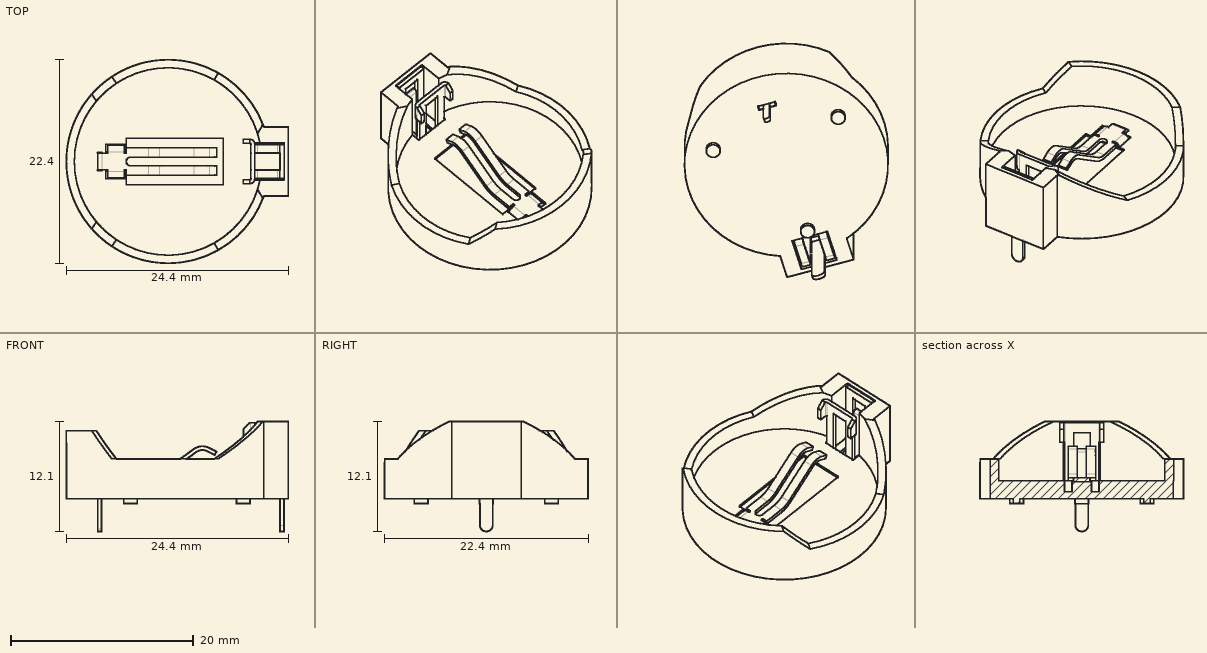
import cadquery as cq
import math


cup_radius = 11.175
wall = 0.89
cavity_radius = cup_radius - wall
floor_top = 2.0
low_wall_top = 4.4
entry_wall_top = 7.49
block_top = 8.51
overall_height = 12.09
block_width = 7.62
block_end = 13.205

block_slope_heading = 60.5
block_slope_run = 7.05
entry_slope_heading = 123.5
entry_slope_run = 2.9

peg_diameter = 1.52
peg_circle_radius = 8.255
peg_length = 0.51
peg_count = 3

sheet = 0.44
pin_bottom = block_top - overall_height

slot_start = 9.09
slot_end = 12.72
slot_width = 4.06
clip_width = 3.76
clip_top = 8.37
clip_bend = 0.28
clip_window_width = 1.82
clip_window_top = 7.24
crossbar_bottom = 2.1
crossbar_top = 2.8
clip_pin_width = 1.44
clip_pin_top = 5.5
clip_pin_round = 0.3
arm_bend = 0.1
arm_end = 8.26
arm_bottom = 6.2
arm_chamfer = 0.7

recess_depth = 0.25
seat_depth = 0.1
recess_start = -4.58
recess_end = 6.08
recess_width = 5.1
spring_width = 3.02
spring_gap = 0.95
neck_width = 1.83
spring_pin_face = -7.74
spring_pin_width = 0.66
pin_hole_width = 2.0
tab_bend = 0.05

tine_bend_start = -2.2
tine_bend_radius = 2.13
tine_rise_angle = math.radians(36)
tine_rise_length = 4.66
tine_crest_radius = 1.62
tine_tip_angle = math.radians(27)
tine_tip_length = 0.91

wing_start = -6.62
wing_end = -4.79
wing_bend_start = 1.08
wing_outer = 1.78
wing_bottom = 0.8
pocket_start = -6.85
pocket_end = -4.70
pocket_outer = 1.88

recess_floor = floor_top - recess_depth
spring_bottom = floor_top - seat_depth
spring_top = spring_bottom + sheet


def box(x0, x1, y0, y1, z0, z1):
    """Box between two opposite corners."""
    return cq.Workplane("XY").box(x1 - x0, y1 - y0, z1 - z0, centered=False).translate((x0, y0, z0))


def centred_box(x0, x1, width, z0, z1):
    """Box that is symmetric about the XZ plane."""
    return box(x0, x1, -width / 2, width / 2, z0, z1)


def both_sides(shape):
    """The shape together with its mirror image in the XZ plane."""
    return shape.union(shape.mirror("XZ"))


def slope_cutter(heading, run, rise):
    """Prism above a slope whose level lines run along the heading; it climbs toward +X."""
    reach = 4 * cup_radius
    profile = [(0, 0), (run, rise), (reach * run / rise, reach), (-reach, reach), (-reach, 0)]
    prism = cq.Workplane("XZ").polyline(profile).close().extrude(reach, both=True)
    return prism.rotate((0, 0, 0), (0, 0, 1), heading - 90).translate((0, 0, low_wall_top))


def side_notch():
    """Space above the low wall on the +Y side, between the two slopes."""
    block_side = slope_cutter(block_slope_heading, block_slope_run, block_top - low_wall_top)
    entry_side = slope_cutter(
        180 - entry_slope_heading, entry_slope_run, entry_wall_top - low_wall_top
    ).mirror("YZ")
    half = box(-cup_radius, cup_radius, 0, cup_radius, low_wall_top, block_top)
    return half.intersect(block_side).intersect(entry_side)


def make_cup():
    cup = cq.Workplane("XY").circle(cup_radius).extrude(block_top)
    block = centred_box(0, block_end, block_width, 0, block_top).cut(cup)
    cup = cup.cut(both_sides(side_notch()))
    cup = cup.cut(centred_box(-cup_radius, 0, 2 * cup_radius, entry_wall_top, block_top))
    cup = cup.union(block)
    cavity = cq.Workplane("XY").workplane(offset=floor_top).circle(cavity_radius).extrude(block_top)
    return cup.cut(cavity)


def make_pegs():
    return (
        cq.Workplane("XY")
        .polarArray(peg_circle_radius, 0, 360, peg_count)
        .circle(peg_diameter / 2)
        .extrude(-peg_length)
    )


def spring_seat():
    """Recess under the tines, channel for the neck, wing pockets and pin hole."""
    hole_end = spring_pin_face + sheet + tab_bend
    recess = centred_box(recess_start, recess_end, recess_width, recess_floor, floor_top)
    channel = centred_box(spring_pin_face, recess_start, neck_width, spring_bottom, floor_top)
    pin_hole = centred_box(spring_pin_face, hole_end, pin_hole_width, 0, floor_top)
    pocket = box(pocket_start, pocket_end, wing_bend_start, pocket_outer, wing_bottom, floor_top)
    relief = box(wing_start, recess_start, neck_width / 2, wing_bend_start, spring_bottom, floor_top)
    return recess.union(channel).union(pin_hole).union(both_sides(pocket.union(relief)))


def make_housing():
    clip_slot = centred_box(slot_start, slot_end, slot_width, 0, block_top)
    return make_cup().union(make_pegs()).cut(clip_slot).cut(spring_seat())


def contact_pin(x0, width, top):
    """Flat pin with a fully rounded lower end."""
    return (
        cq.Workplane("YZ")
        .workplane(offset=x0)
        .moveTo(-width / 2, top)
        .lineTo(width / 2, top)
        .lineTo(width / 2, pin_bottom + width / 2)
        .threePointArc((0, pin_bottom), (-width / 2, pin_bottom + width / 2))
        .close()
        .extrude(sheet)
    )


def clip_arm():
    """Arm on the +Y edge of the front plate, bent toward the cell, with a chamfered lead-in."""
    outer = arm_bend + sheet
    bend_x = slot_start - arm_bend
    bend_y = clip_width / 2
    diagonal = math.sqrt(0.5)
    arm = (
        cq.Workplane("XY")
        .workplane(offset=arm_bottom)
        .moveTo(slot_start, bend_y)
        .lineTo(slot_start + sheet, bend_y)
        .threePointArc(
            (bend_x + outer * diagonal, bend_y + outer * diagonal), (bend_x, bend_y + outer)
        )
        .lineTo(arm_end, bend_y + outer)
        .lineTo(arm_end, bend_y + arm_bend)
        .lineTo(bend_x, bend_y + arm_bend)
        .threePointArc(
            (bend_x + arm_bend * diagonal, bend_y + arm_bend * diagonal), (slot_start, bend_y)
        )
        .close()
        .extrude(clip_top - arm_bottom)
    )
    return arm.faces("<X").edges(">Z").chamfer(arm_chamfer)


def make_clip():
    front_inner = slot_start + sheet
    rear_inner = slot_end - sheet
    channel = (
        centred_box(slot_start, slot_end, clip_width, 0, clip_top)
        .edges("|Y and <Z")
        .fillet(clip_bend + sheet)
    )
    inside = (
        centred_box(front_inner, rear_inner, clip_width, sheet, clip_top)
        .edges("|Y and <Z")
        .fillet(clip_bend)
    )
    window = centred_box(slot_start, slot_end, clip_window_width, 0, clip_window_top)
    crossbar = centred_box(rear_inner, slot_end, clip_window_width, crossbar_bottom, crossbar_top)
    pin = contact_pin(rear_inner, clip_pin_width, clip_pin_top)
    pin = pin.faces(">Z").edges("<X").fillet(clip_pin_round)
    clip = channel.cut(inside).cut(window).union(crossbar).union(pin)
    return clip.union(both_sides(clip_arm()))


def polar(centre, radius, angle):
    """Point in the XZ plane at an angle from straight up, turning toward +X."""
    return (centre[0] + radius * math.sin(angle), centre[1] + radius * math.cos(angle))


def make_tines():
    """Spring body with two tines that rise from the flat and curl over at their tips."""
    rise = tine_rise_angle
    tip = tine_tip_angle
    bend = (tine_bend_start, spring_top + tine_bend_radius)
    bend_outer = tine_bend_radius + sheet
    crest_inner = tine_crest_radius - sheet
    bend_end = polar(bend, tine_bend_radius, math.pi - rise)
    crest_distance = math.hypot(tine_rise_length, tine_crest_radius)
    crest_heading = math.pi / 2 - rise + math.atan2(tine_crest_radius, tine_rise_length)
    crest = polar(bend_end, crest_distance, crest_heading)
    middle = (tip - rise) / 2
    tip_heading = math.pi / 2 + tip
    body = (
        cq.Workplane("XZ", origin=(0, spring_width / 2, 0))
        .moveTo(recess_start, spring_bottom)
        .lineTo(recess_start, spring_top)
        .lineTo(tine_bend_start, spring_top)
        .threePointArc(polar(bend, tine_bend_radius, math.pi - rise / 2), bend_end)
        .lineTo(*polar(crest, tine_crest_radius, -rise))
        .threePointArc(
            polar(crest, tine_crest_radius, middle), polar(crest, tine_crest_radius, tip)
        )
        .lineTo(*polar(polar(crest, tine_crest_radius, tip), tine_tip_length, tip_heading))
        .lineTo(*polar(polar(crest, crest_inner, tip), tine_tip_length, tip_heading))
        .lineTo(*polar(crest, crest_inner, tip))
        .threePointArc(polar(crest, crest_inner, middle), polar(crest, crest_inner, -rise))
        .lineTo(*polar(bend, bend_outer, math.pi - rise))
        .threePointArc(polar(bend, bend_outer, math.pi - rise / 2), (tine_bend_start, spring_bottom))
        .close()
        .extrude(spring_width)
    )
    gap_round = spring_gap / 2
    gap = centred_box(recess_start + gap_round, recess_end, spring_gap, 0, block_top)
    gap_end = cq.Workplane("XY").center(recess_start + gap_round, 0).circle(gap_round).extrude(block_top)
    return body.cut(gap).cut(gap_end)


def neck_with_pin():
    """Flat neck whose end folds down through the floor and narrows to the pin."""
    neck = centred_box(spring_pin_face, recess_start, neck_width, 0, spring_top)
    neck = neck.edges("|Y and <X and >Z").fillet(tab_bend + sheet)
    underside = centred_box(spring_pin_face + sheet, recess_start, neck_width, 0, spring_bottom)
    underside = underside.edges("|Y and <X and >Z").fillet(tab_bend)
    return neck.cut(underside).union(contact_pin(spring_pin_face, spring_pin_width, sheet))


def wing():
    """Wing on the +Y edge of the neck, folded down into its pocket."""
    outer = wing_outer - wing_bend_start
    leaf = box(wing_start, wing_end, neck_width / 2, wing_outer, wing_bottom, spring_top)
    leaf = leaf.edges("|X and >Y and >Z").fillet(outer)
    hollow = box(wing_start, wing_end, 0, wing_outer - sheet, wing_bottom, spring_bottom)
    hollow = hollow.edges("|X and >Y and >Z").fillet(outer - sheet)
    return leaf.cut(hollow)


def make_spring():
    return make_tines().union(neck_with_pin()).union(both_sides(wing()))


housing = make_housing()
clip = make_clip()
spring = make_spring()

result = cq.Compound.makeCompound([body.solids().val() for body in (housing, clip, spring)])